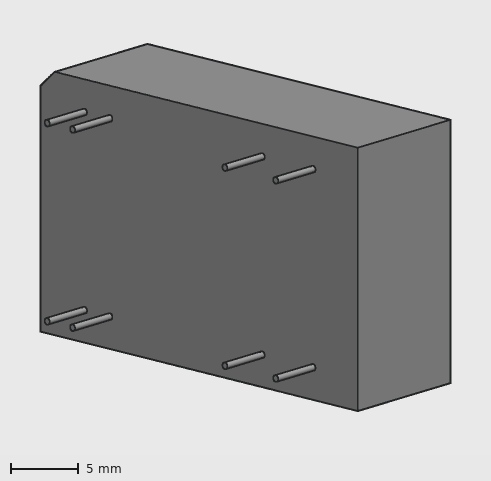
import cadquery as cq

body_length = 31.8
body_depth = 10.2
body_height = 20.3
corner_cut_x = 1.43
corner_cut_z = 1.35

pin_diameter = 0.5
pin_length = 4.1
pin_pitch = 2.55
first_pin_x = 4.42
pin_columns = [0, 1, 7, 9]
row_spacing = 6 * pin_pitch
row_heights = [(body_height - row_spacing) / 2, (body_height + row_spacing) / 2]


def make_body():
    """Block with its upper -X edge cut off, front face on the XZ plane."""
    outline = [
        (0, 0),
        (body_length, 0),
        (body_length, body_height),
        (corner_cut_x, body_height),
        (0, body_height - corner_cut_z),
    ]
    return cq.Workplane("XZ").polyline(outline).close().extrude(-body_depth)


def make_pins():
    """Two rows of round pins extending toward -Y."""
    centers = [
        (first_pin_x + column * pin_pitch, height)
        for column in pin_columns
        for height in row_heights
    ]
    return cq.Workplane("XZ").pushPoints(centers).circle(pin_diameter / 2).extrude(pin_length)


result = make_body().union(make_pins())